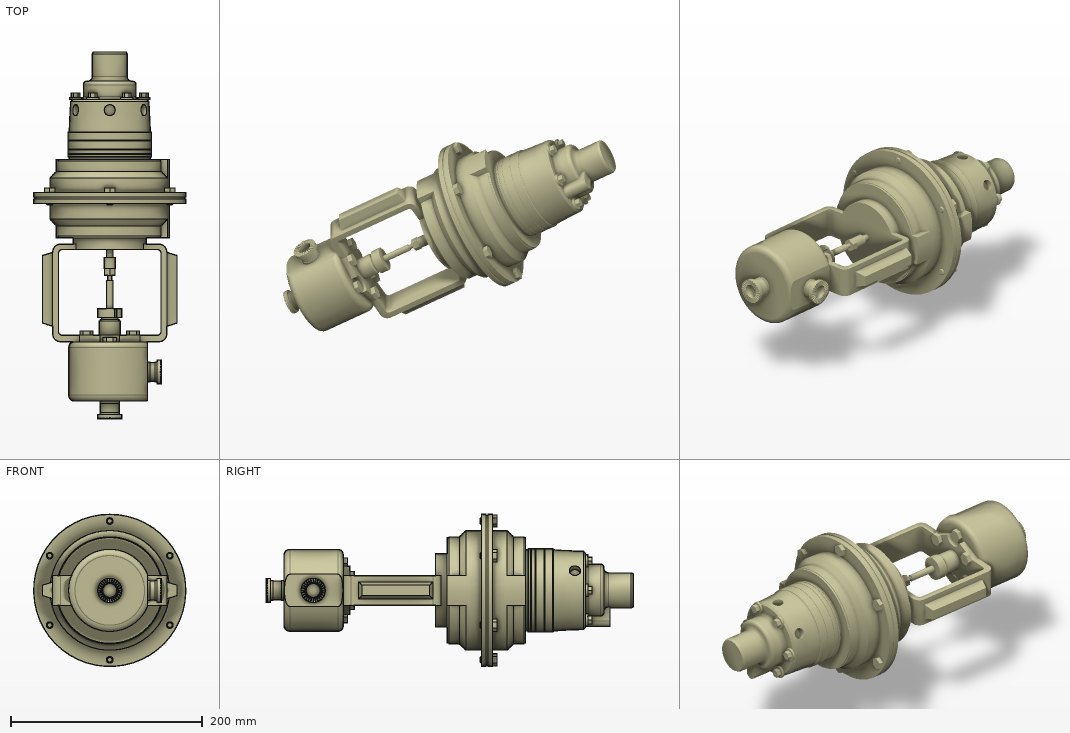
import cadquery as cq
import math


CAN_FRONT = 18.5
CAN_BACK = 80.5
YOKE_BACK = 182.5
COLLAR_BACK = 115.0
COUPLING_BACK = 168.5
NECK_FRONT = 176.5
BODY_FRONT = 189.0
FLANGE_FRONT = 224.5
FLANGE_BACK = 236.5
BODY_BACK = 271.0
RING_FRONT = 273.3
RING_BACK = 299.7
SLEEVE_BACK = 333.5
BOSS_BACK = 352.5
NOZZLE_BACK = 383.2

NOZZLE_R = 18.5
NOZZLE_CHAMFER = 2.3
NOZZLE_FLARE = 4.5
BOSS_R = 27.5
BOSS_FILLET = 4.0
BOSS_FOOT_FILLET = 3.0
SLEEVE_R = 42.5
SLEEVE_SMALL_R = 41.0
SLEEVE_CHAMFER = 2.3
RING_R = 43.5
RING_CHAMFER = 0.57
RING_GROOVE_DEPTH = 0.45
RING_GROOVE_WIDTH = 1.0
RING_GROOVES = (290.5, 281.3, 276.5)
PORT_R = 5.7
PORT_DEPTH = 7.5
PORT_Y = 322.5
PORT_ANGLES = (30, 90, 150)
CAP_BOLTS = 6
CAP_BOLT_CIRCLE = 35.5
CAP_BOLT_ACROSS = 9.2
CAP_BOLT_HEAD = 4.5
CAP_WASHER_R = 6.5
CAP_WASHER_HEIGHT = 2.3
LUG_BACK = 359.0
LUG_REACH = 38.0
LUG_WIDTH = 12.3

BODY_R = 56.0
BELLY_R = 62.5
BELLY_SLOPE = 7.0
BODY_STEP = 12.5
BODY_EDGE_RADIAL = 0.8
BODY_EDGE_AXIAL = 2.0
KEY_WIDTH = 31.5
EDGE_LAND_WIDTH = 28.5
FLANGE_DIAMETER = 159.0
FLANGE_R = FLANGE_DIAMETER / 2
GASKET_GROOVE = 2.0
GASKET_GROOVE_DEPTH = 1.0
FLANGE_BOLTS = 6
FLANGE_BOLT_CIRCLE = 72.5
FLANGE_BOLT_ACROSS = 13.0
FLANGE_BOLT_HEAD = 4.5
STUD_R = 3.5
STUD_HEIGHT = 1.0
STUD_CHAMFER = 0.95
NECK_R = 38.5

YOKE_SPAN = 119.0
YOKE_HALF_X = YOKE_SPAN / 2
YOKE_WIDTH = 31.0
YOKE_SIDE = 6.0
YOKE_FRONT_BAR = 7.0
YOKE_OUTER_FILLET = 8.0
YOKE_INNER_FILLET = 4.0
RAIL_HEIGHT = 10.7
RAIL_Y = 135.3
RAIL_BASE_LENGTH = 77.5
RAIL_TOP_LENGTH = 70.5
RAIL_BASE_WIDTH = 17.5
RAIL_TOP_WIDTH = 10.7

STEM_R = 3.5
STEM_WAIST_R = 2.3
STEM_WAIST_FRONT = 144.5
STEM_WAIST_BACK = 150.0
COUPLING_R = 5.7
COUPLING_FRONT = 156.7
LOCKNUTS = 2
LOCKNUT_HEIGHT = (COUPLING_FRONT - STEM_WAIST_BACK) / LOCKNUTS
LOCKNUT_ACROSS = 13.0
COLLAR_R = 12.5
COLLAR_HEIGHT = 9.2
COLLAR_SLOT_WIDTH = 2.5
COLLAR_SLOT_DEPTH = 1.5
COLLAR_SLOT_ANGLE = 60
HUB_R = 11.0
HUB_BACK = 103.5
HUB_CHAMFER = 1.5
HUB_NECK_R = 9.0

CAN_R = 43.0
CAN_FRONT_FILLET = 6.5
CAN_BACK_FILLET = 5.7
CAN_FLAT_X = 39.5
PLATE_HALF_X = 32.0
PLATE_HALF_Z = 26.5
PLATE_TOP_HALF_X = 7.5
NOTCH_R = 10.7
PLATE_BOLT_CIRCLE = 28.0
BAR_BOLT_ANGLES = (30, 150, 210, 330)
NOTCH_BOLT_ANGLES = (90, 270)
PLATE_BOLT_ACROSS = 13.8
PLATE_BOLT_HEAD = 4.5
CONNECTOR_R = 10.5
CONNECTOR_BAND = 2.3
CONNECTOR_WAIST_DEPTH = 0.5
CONNECTOR_RIM_R = 12.5
CONNECTOR_RIM = 4.5
CONNECTOR_BORE_R = 7.3
CONNECTOR_BORE_DEPTH = 11.5
RIM_SLOTS = 28
RIM_SLOT_WIDTH = 0.8
RIM_SLOT_DEPTH = 1.0
SIDE_CONNECTOR_Y = 49.0
SIDE_CONNECTOR_END = 54.0

CORNER_UP = 30

YOKE_FRONT = CAN_BACK
PLATE_BACK = YOKE_FRONT + YOKE_FRONT_BAR


def cylinder(radius, front, back, x=0, z=0):
    """Cylinder parallel to Y between two stations."""
    solid = cq.Solid.makeCylinder(radius, back - front, cq.Vector(x, front, z), cq.Vector(0, 1, 0))
    return cq.Workplane(solid)


def turned(points):
    """Solid of revolution about Y from (radius, y) points, closed along the axis."""
    outline = [(0, points[0][1])] + points + [(0, points[-1][1])]
    return cq.Workplane("XY").polyline(outline).close().revolve(360, (0, 0), (0, 1))


def hexagon(across, front, height, x=0, z=0, turn=0):
    """Hexagonal prism along Y, sized across its corners; its corners point along X unless turned."""
    plane = cq.Workplane("XZ", origin=(x, front, z)).transformed(rotate=(0, 0, turn))
    return plane.polygon(6, across).extrude(-height)


def groove(radius, width, depth, y):
    """Ring to cut a groove centred at y into a cylinder of the given radius."""
    front, back = y - width / 2, y + width / 2
    return cylinder(radius + 4, front, back).cut(cylinder(radius - depth, front, back))


def around(radius, angles):
    """(x, z) places on a circle about the Y axis."""
    places = []
    for angle in angles:
        turn = math.radians(angle)
        places.append((radius * math.cos(turn), radius * math.sin(turn)))
    return places


def make_nozzle():
    outline = (
        cq.Workplane("XY")
        .moveTo(0, SLEEVE_BACK)
        .lineTo(BOSS_R + BOSS_FOOT_FILLET, SLEEVE_BACK)
        .radiusArc((BOSS_R, SLEEVE_BACK + BOSS_FOOT_FILLET), BOSS_FOOT_FILLET)
        .lineTo(BOSS_R, BOSS_BACK - BOSS_FILLET)
        .radiusArc((BOSS_R - BOSS_FILLET, BOSS_BACK), -BOSS_FILLET)
        .lineTo(NOZZLE_R + NOZZLE_FLARE, BOSS_BACK)
        .radiusArc((NOZZLE_R, BOSS_BACK + NOZZLE_FLARE), NOZZLE_FLARE)
        .lineTo(NOZZLE_R, NOZZLE_BACK - NOZZLE_CHAMFER)
        .lineTo(NOZZLE_R - NOZZLE_CHAMFER / 2, NOZZLE_BACK)
        .lineTo(0, NOZZLE_BACK)
        .close()
    )
    return outline.revolve(360, (0, 0), (0, 1))


def make_sleeve():
    sleeve = turned([
        (SLEEVE_R, BODY_BACK),
        (SLEEVE_R, RING_BACK),
        (SLEEVE_SMALL_R, SLEEVE_BACK - SLEEVE_CHAMFER),
        (SLEEVE_SMALL_R - SLEEVE_CHAMFER, SLEEVE_BACK),
    ])
    sleeve = sleeve.union(cylinder(RING_R, RING_FRONT, RING_BACK).edges().chamfer(RING_CHAMFER))
    for y in RING_GROOVES:
        sleeve = sleeve.cut(groove(RING_R, RING_GROOVE_WIDTH, RING_GROOVE_DEPTH, y))
    floor = SLEEVE_SMALL_R - PORT_DEPTH
    for x, z in around(1, PORT_ANGLES):
        start = cq.Vector(x * floor, PORT_Y, z * floor)
        port = cq.Solid.makeCylinder(PORT_R, 2 * PORT_DEPTH, start, cq.Vector(x, 0, z))
        sleeve = sleeve.cut(cq.Workplane(port))
    return sleeve


def make_cap_bolts():
    head_front = SLEEVE_BACK + CAP_WASHER_HEIGHT
    bolts = cq.Workplane()
    for x, z in around(CAP_BOLT_CIRCLE, range(0, 360, 360 // CAP_BOLTS)):
        bolts = bolts.add(cylinder(CAP_WASHER_R, SLEEVE_BACK, head_front, x, z))
        bolts = bolts.add(hexagon(CAP_BOLT_ACROSS, head_front, CAP_BOLT_HEAD, x, z))
    return bolts.combine()


def make_lug():
    """Round-ended lug on the sleeve's end face, reaching down from the nozzle axis."""
    half = LUG_WIDTH / 2
    center_z = half - LUG_REACH
    length = LUG_BACK - SLEEVE_BACK
    web = cq.Workplane("XY").box(LUG_WIDTH, length, -center_z, centered=(True, False, False))
    return web.translate((0, SLEEVE_BACK, center_z)).union(
        cylinder(half, SLEEVE_BACK, LUG_BACK, 0, center_z)
    )


def side_strip(width, direction):
    """Box along the +X or -X side of the body, holding metal that stays uncut."""
    length = BODY_BACK - BODY_FRONT
    strip = cq.Workplane("XY").box(2 * BELLY_R, length, width, centered=(True, False, True))
    return strip.translate((direction * BELLY_R, BODY_FRONT, 0))


def shoulder_waste():
    """Material around the stepped front and back shoulders of the body."""
    step_front = BODY_FRONT + BODY_STEP
    step_back = BODY_BACK - BODY_STEP
    core = turned([
        (BODY_R, BODY_FRONT),
        (BODY_R, step_front),
        (BELLY_R, step_front + BELLY_SLOPE),
        (BELLY_R, step_back - BELLY_SLOPE),
        (BODY_R, step_back),
        (BODY_R, BODY_BACK),
    ])
    return cylinder(BELLY_R, BODY_FRONT, BODY_BACK).cut(core)


def edge_waste(front, back):
    """Thin ring that rebates the outer edge at one end of the body."""
    return cylinder(BODY_R, front, back).cut(cylinder(BODY_R - BODY_EDGE_RADIAL, front, back))


def make_body():
    key = side_strip(KEY_WIDTH, 1)
    edge_land = side_strip(EDGE_LAND_WIDTH, -1)
    body = cylinder(BELLY_R, BODY_FRONT, BODY_BACK).cut(shoulder_waste().cut(key))
    for front in (BODY_FRONT, BODY_BACK - BODY_EDGE_AXIAL):
        body = body.cut(edge_waste(front, front + BODY_EDGE_AXIAL).cut(key).cut(edge_land))
    return body.union(cylinder(NECK_R, NECK_FRONT, BODY_FRONT))


def make_flange():
    middle = (FLANGE_FRONT + FLANGE_BACK) / 2
    flange = cylinder(FLANGE_R, FLANGE_FRONT, FLANGE_BACK)
    flange = flange.cut(groove(FLANGE_R, GASKET_GROOVE, GASKET_GROOVE_DEPTH, middle))
    stud_front = FLANGE_FRONT - STUD_HEIGHT
    for x, z in around(FLANGE_BOLT_CIRCLE, range(90, 450, 360 // FLANGE_BOLTS)):
        head = hexagon(FLANGE_BOLT_ACROSS, FLANGE_BACK, FLANGE_BOLT_HEAD, x, z, CORNER_UP)
        flange = flange.union(head)
        stud = cylinder(STUD_R, stud_front, FLANGE_BACK, x, z).faces("<Y").chamfer(STUD_CHAMFER)
        flange = flange.union(stud)
    return flange


def make_rail():
    """Tapered rail on the outer face of the +X yoke side."""
    base = cq.Workplane("YZ", origin=(YOKE_HALF_X, RAIL_Y, 0))
    return (
        base.rect(RAIL_BASE_LENGTH, RAIL_BASE_WIDTH)
        .workplane(offset=RAIL_HEIGHT)
        .rect(RAIL_TOP_LENGTH, RAIL_TOP_WIDTH)
        .loft()
    )


def make_yoke():
    length = YOKE_BACK - YOKE_FRONT
    inner_length = NECK_FRONT - PLATE_BACK
    outer = cq.Workplane("XY").box(YOKE_SPAN, length, YOKE_WIDTH)
    outer = outer.edges("|Z").fillet(YOKE_OUTER_FILLET)
    inner = cq.Workplane("XY").box(YOKE_SPAN - 2 * YOKE_SIDE, inner_length, YOKE_WIDTH)
    inner = inner.edges("|Z").fillet(YOKE_INNER_FILLET)
    yoke = outer.translate((0, YOKE_FRONT + length / 2, 0))
    yoke = yoke.cut(inner.translate((0, PLATE_BACK + inner_length / 2, 0)))
    rail = make_rail()
    return yoke.union(rail).union(rail.mirror("YZ"))


def make_stem():
    stem = cylinder(STEM_R, COLLAR_BACK - COLLAR_HEIGHT, STEM_WAIST_FRONT)
    stem = stem.union(cylinder(STEM_WAIST_R, STEM_WAIST_FRONT, STEM_WAIST_BACK))
    for count in range(LOCKNUTS):
        nut_front = STEM_WAIST_BACK + count * LOCKNUT_HEIGHT
        stem = stem.union(hexagon(LOCKNUT_ACROSS, nut_front, LOCKNUT_HEIGHT, turn=CORNER_UP))
    stem = stem.union(cylinder(COUPLING_R, COUPLING_FRONT, COUPLING_BACK))
    return stem.union(cylinder(STEM_R, COUPLING_BACK, NECK_FRONT))


def make_gland():
    collar_front = COLLAR_BACK - COLLAR_HEIGHT
    collar = cylinder(COLLAR_R, collar_front, COLLAR_BACK)
    slot = cq.Workplane("XY").box(2 * COLLAR_SLOT_DEPTH, COLLAR_HEIGHT, COLLAR_SLOT_WIDTH)
    slot = slot.translate((COLLAR_R, (collar_front + COLLAR_BACK) / 2, 0))
    collar = collar.cut(slot.rotate((0, 0, 0), (0, 1, 0), -COLLAR_SLOT_ANGLE))
    hub = cylinder(HUB_R, YOKE_FRONT, HUB_BACK).faces(">Y").chamfer(HUB_CHAMFER)
    return collar.union(cylinder(HUB_NECK_R, HUB_BACK, collar_front)).union(hub)


def make_plate():
    """Mounting plate with sloped flanks, notched round the two bolts seated on the can."""
    corner_z = YOKE_WIDTH / 2
    upper = [
        (PLATE_HALF_X, corner_z),
        (PLATE_TOP_HALF_X, PLATE_HALF_Z),
        (-PLATE_TOP_HALF_X, PLATE_HALF_Z),
        (-PLATE_HALF_X, corner_z),
    ]
    lower = [(-x, -z) for x, z in upper]
    plate = cq.Workplane("XZ", origin=(0, YOKE_FRONT, 0)).polyline(upper + lower).close()
    plate = plate.extrude(-YOKE_FRONT_BAR)
    for x, z in around(PLATE_BOLT_CIRCLE, BAR_BOLT_ANGLES):
        plate = plate.union(hexagon(PLATE_BOLT_ACROSS, PLATE_BACK, PLATE_BOLT_HEAD, x, z))
    for x, z in around(PLATE_BOLT_CIRCLE, NOTCH_BOLT_ANGLES):
        plate = plate.cut(cylinder(NOTCH_R, YOKE_FRONT, PLATE_BACK, x, z))
        plate = plate.union(hexagon(PLATE_BOLT_ACROSS, CAN_BACK, PLATE_BOLT_HEAD, x, z))
    return plate


def make_can():
    can = cylinder(CAN_R, CAN_FRONT, CAN_BACK)
    can = can.faces("<Y").edges().fillet(CAN_FRONT_FILLET)
    can = can.faces(">Y").edges().fillet(CAN_BACK_FILLET)
    cutter = cq.Workplane("XY").box(CAN_R, 2 * CAN_BACK, 2 * CAN_R, centered=(False, True, True))
    return can.cut(cutter.translate((CAN_FLAT_X, CAN_BACK / 2, 0)))


def make_connector(length):
    """Rimmed connector along Y, open at Y = 0, with radial slots in its rim."""
    connector = cylinder(CONNECTOR_R, 0, length).union(cylinder(CONNECTOR_RIM_R, 0, CONNECTOR_RIM))
    waist_width = length - CONNECTOR_RIM - 2 * CONNECTOR_BAND
    waist_y = (length + CONNECTOR_RIM) / 2
    connector = connector.cut(groove(CONNECTOR_R, waist_width, CONNECTOR_WAIST_DEPTH, waist_y))
    connector = connector.cut(cylinder(CONNECTOR_BORE_R, 0, CONNECTOR_BORE_DEPTH))
    slot = cq.Workplane("XY").box(CONNECTOR_RIM_R, 2 * RIM_SLOT_DEPTH, RIM_SLOT_WIDTH)
    slot = slot.translate((CONNECTOR_RIM_R, 0, 0))
    for count in range(RIM_SLOTS):
        connector = connector.cut(slot.rotate((0, 0, 0), (0, 1, 0), 360 * count / RIM_SLOTS))
    return connector


def make_side_connector():
    connector = make_connector(SIDE_CONNECTOR_END - CAN_FLAT_X)
    connector = connector.rotate((0, 0, 0), (0, 0, 1), 90)
    return connector.translate((SIDE_CONNECTOR_END, SIDE_CONNECTOR_Y, 0))


result = (
    make_body()
    .union(make_flange())
    .union(make_sleeve())
    .union(make_nozzle())
    .union(make_cap_bolts())
    .union(make_lug())
    .union(make_yoke())
    .union(make_stem())
    .union(make_gland())
    .union(make_plate())
    .union(make_can())
    .union(make_connector(CAN_FRONT))
    .union(make_side_connector())
)